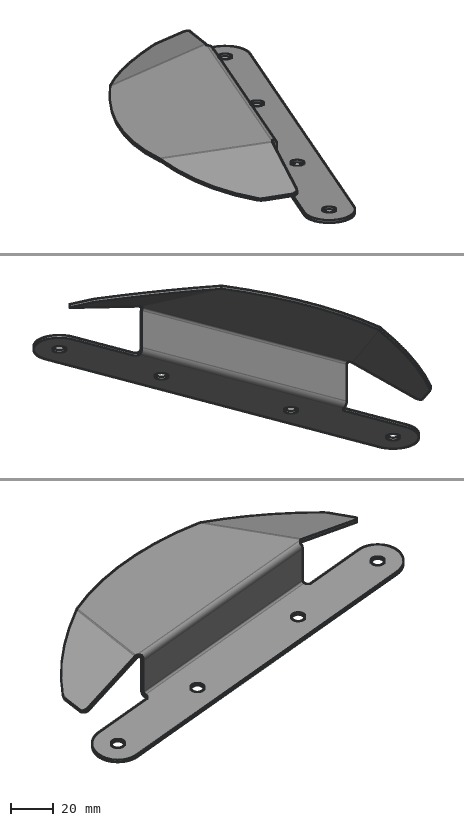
import cadquery as cq
import math

sheet = 1.5
bend_inner = 1.0
bend_outer = bend_inner + sheet
height = 24.3

length = 204.0
flange_width = 24.0
end_radius = flange_width / 2
hole_diameter = 6.5
hole_positions = (-90.0, -34.9, 34.9, 90.0)

web_front = -29.0
web_back = web_front + sheet
web_half_length = 55.0
relief_radius = 2.0

slope = 10.0
front_reach = 88.3
fold_back_half = 57.5
fold_front_half = 42.6
wing_back_half = 97.1
wing_front_half = 92.2
wing_side_depth = 17.5
wing_fold = 15.0
wing_back_radius = 2.5
wing_front_radius = 6.1
edge_margin = 2.0

slope_rad = math.radians(slope)
lid_start_y = web_back - bend_outer * (1 + math.sin(slope_rad))
lid_start_z = height - bend_outer * (1 - math.cos(slope_rad))
lid_depth = (front_reach + lid_start_y) / math.cos(slope_rad)
rim_drop = lid_depth - wing_side_depth
rim_radius = (wing_front_half**2 + rim_drop**2) / (2 * rim_drop)
fold_front_depth = lid_depth - rim_radius + math.sqrt(rim_radius**2 - fold_front_half**2)


def make_flange():
    """Round-ended strip with four holes, widened at the middle to meet the web bend."""
    strip = cq.Workplane("XY").center(0, -end_radius).slot2D(length, flange_width).extrude(sheet)
    bend_start = web_front + bend_outer
    tongue = (
        cq.Workplane("XY")
        .center(0, (bend_start - end_radius) / 2)
        .rect(2 * fold_back_half, -bend_start - end_radius)
        .extrude(sheet)
    )
    holes = (
        cq.Workplane("XY")
        .pushPoints([(x, -end_radius) for x in hole_positions])
        .circle(hole_diameter / 2)
        .extrude(sheet)
    )
    return strip.union(tongue).cut(holes)


def make_web():
    """Upright web with a right-angle bend below and the lid bend above."""
    lower_y = web_front + bend_outer
    upper_y = web_back - bend_outer
    upper_z = height - bend_outer

    def lower(radius, angle):
        a = math.radians(angle)
        return (lower_y + radius * math.cos(a), bend_outer + radius * math.sin(a))

    def upper(radius, angle):
        a = math.radians(angle)
        return (upper_y + radius * math.cos(a), upper_z + radius * math.sin(a))

    end_angle = 90 + slope
    return (
        cq.Workplane("YZ")
        .moveTo(*lower(bend_outer, 270))
        .threePointArc(lower(bend_outer, 225), lower(bend_outer, 180))
        .lineTo(*upper(bend_inner, 0))
        .threePointArc(upper(bend_inner, end_angle / 2), upper(bend_inner, end_angle))
        .lineTo(*upper(bend_outer, end_angle))
        .threePointArc(upper(bend_outer, end_angle / 2), upper(bend_outer, 0))
        .lineTo(*lower(bend_inner, 180))
        .threePointArc(lower(bend_inner, 225), lower(bend_inner, 270))
        .close()
        .extrude(fold_back_half, both=True)
    )


def make_relief(side):
    """Round-cornered notch between the flange and a wing."""
    depth = length / 2 - web_half_length
    notch_back = -flange_width
    notch_width = notch_back - lid_start_y
    return (
        cq.Workplane("XY")
        .center(side * (web_half_length + depth / 2), (notch_back + lid_start_y) / 2)
        .rect(depth, notch_width)
        .extrude(height)
        .edges("|Z")
        .fillet(relief_radius)
    )


def make_flat_blank():
    """Unfolded lid and wings with the top face on z = 0."""
    return (
        cq.Workplane("XY")
        .moveTo(-wing_back_half, 0)
        .lineTo(-wing_front_half, -wing_side_depth)
        .threePointArc((0, -lid_depth), (wing_front_half, -wing_side_depth))
        .lineTo(wing_back_half, 0)
        .close()
        .extrude(-sheet)
        .edges("|Z and >Y")
        .fillet(wing_back_radius)
        .edges(cq.selectors.BoxSelector(
            (-length, -wing_side_depth - edge_margin, -sheet),
            (length, -wing_side_depth + edge_margin, 0),
        ))
        .edges("|Z")
        .fillet(wing_front_radius)
    )


def make_lid():
    """Lid with both wings folded down about their slanted fold lines."""
    blank = make_flat_blank()
    taper = (fold_back_half - fold_front_half) / fold_front_depth
    back_half = fold_back_half + taper * lid_depth
    front_half = fold_back_half - 2 * taper * lid_depth
    middle = (
        cq.Workplane("XY")
        .polyline([
            (-back_half, lid_depth),
            (back_half, lid_depth),
            (front_half, -2 * lid_depth),
            (-front_half, -2 * lid_depth),
        ])
        .close()
        .extrude(-sheet)
    )
    lid = blank.intersect(middle)
    wings = blank.cut(middle)
    for side in (-1, 1):
        fold_back = (side * fold_back_half, 0, 0)
        fold_front = (side * fold_front_half, -fold_front_depth, 0)
        wing = wings.solids(">X" if side > 0 else "<X")
        lid = lid.union(cq.Workplane(wing.val().rotate(fold_back, fold_front, -side * wing_fold)))
    fold_middle = (fold_back_half + fold_front_half) / 2
    for side in (-1, 1):
        fold_point = (side * fold_middle, -fold_front_depth / 2, 0)
        lid = lid.edges(cq.selectors.NearestToPointSelector(fold_point)).fillet(bend_outer)
    return lid.rotate((0, 0, 0), (1, 0, 0), slope).translate((0, lid_start_y, lid_start_z))


result = make_flange().union(make_web())
for end in (-1, 1):
    result = result.cut(make_relief(end))
result = result.union(make_lid())